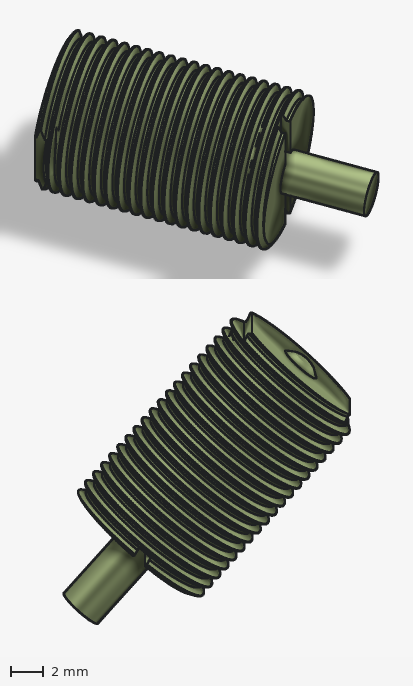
import cadquery as cq
import math

body_length = 15.0
thread_diameter = 10.0
thread_pitch = 0.75
thread_depth = 0.45
crest_width = 0.08
root_width = 0.2
ridge_turn = 65.0

flat_spacing = 8.0
flat_length = thread_pitch

pin_diameter = 2.8
pin_length = 5.4

slot_width = 0.95
slot_depth = 0.6

nose_base_diameter = 2.55
nose_dome_diameter = 1.5
nose_length = 0.5
nose_dome_height = 0.15

thread_radius = thread_diameter / 2
root_radius = thread_radius - thread_depth


def cylinder_along_x(diameter, start_x, length):
    return cq.Workplane("YZ", origin=(start_x, 0, 0)).circle(diameter / 2).extrude(length)


def make_thread_ridge():
    """Right-handed helical ridge around X, sunk slightly into the core and trimmed to the body."""
    run_out = 2 * thread_pitch
    sunk_depth = 0.05
    foot_radius = root_radius - sunk_depth
    crest_half_width = crest_width / 2
    flank_slope = (thread_pitch - crest_width - root_width) / 2 / thread_depth
    foot_half_width = crest_half_width + flank_slope * (thread_depth + sunk_depth)

    helix = cq.Wire.makeHelix(thread_pitch, body_length + 2 * run_out, foot_radius)
    ridge = (
        cq.Workplane("XZ")
        .polyline([
            (foot_radius, -foot_half_width),
            (thread_radius, -crest_half_width),
            (thread_radius, crest_half_width),
            (foot_radius, foot_half_width),
        ])
        .close()
        .sweep(cq.Workplane(helix), isFrenet=True)
        .rotate((0, 0, 0), (0, 1, 0), 90)
        .rotate((0, 0, 0), (1, 0, 0), ridge_turn)
        .translate((-run_out, 0, 0))
    )
    trim_diameter = thread_diameter + 2 * thread_depth
    return ridge.intersect(cylinder_along_x(trim_diameter, 0, body_length))


def make_threaded_body():
    return cylinder_along_x(2 * root_radius, 0, body_length).union(make_thread_ridge())


def cut_wrench_flats(body):
    block_depth = thread_radius
    block_offset = (flat_spacing + block_depth) / 2
    for side in (1, -1):
        block = (
            cq.Workplane("XY")
            .box(flat_length, block_depth, thread_diameter, centered=(False, True, True))
            .translate((0, side * block_offset, 0))
        )
        body = body.cut(block)
    return body


def cut_screwdriver_slot(body):
    slot = (
        cq.Workplane("XY")
        .box(slot_depth, slot_width, thread_diameter, centered=(False, True, True))
        .translate((body_length - slot_depth, 0, 0))
    )
    return body.cut(slot)


def make_pin():
    return cylinder_along_x(pin_diameter, body_length - slot_depth, slot_depth + pin_length)


def make_nose():
    base_radius = nose_base_diameter / 2
    dome_edge_radius = nose_dome_diameter / 2
    dome_radius = (dome_edge_radius**2 + nose_dome_height**2) / (2 * nose_dome_height)
    dome_centre_x = dome_radius - nose_length
    half_angle = math.asin(dome_edge_radius / dome_radius) / 2
    dome_mid_point = (
        dome_centre_x - dome_radius * math.cos(half_angle),
        dome_radius * math.sin(half_angle),
    )
    return (
        cq.Workplane("XY")
        .moveTo(0, 0)
        .lineTo(0, base_radius)
        .lineTo(nose_dome_height - nose_length, dome_edge_radius)
        .threePointArc(dome_mid_point, (-nose_length, 0))
        .close()
        .revolve(360, (0, 0, 0), (1, 0, 0))
    )


body = make_threaded_body()
body = cut_wrench_flats(body)
body = cut_screwdriver_slot(body)
result = body.union(make_pin()).union(make_nose())